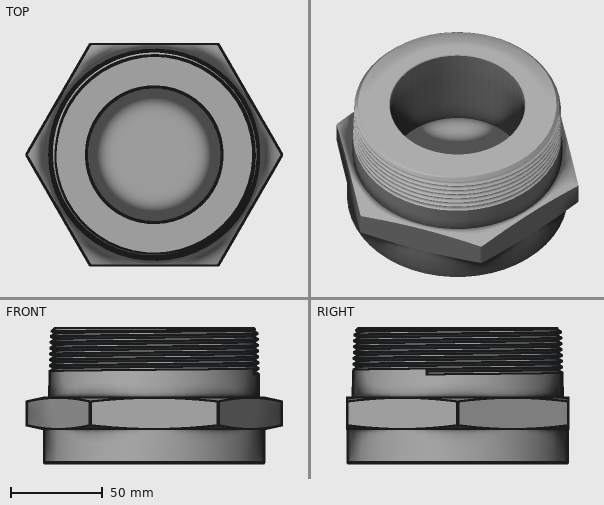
import cadquery as cq
import math

total_height = 73.91
hex_bottom = 18.8
hex_top = 35.9
taper_start = 41.0

hex_across_flats = 120.65
hex_across_corners = 138.81
hex_full_corners = hex_across_flats / math.cos(math.radians(30))
hex_chamfer_radius = 60.1
hex_chamfer_drop = 2.05

hub_radius = 60.1
hub_chamfer = 0.8

neck_radius = 57.15
taper_slope = 1 / 32
taper_angle = math.degrees(math.atan(taper_slope))
spout_top_radius = neck_radius - (total_height - taper_start) * taper_slope
spout_chamfer = 2.3

thread_pitch = 3.175
thread_depth = 0.8 * thread_pitch
groove_height_at_x_axis = 50.2
lead_in_angle = 17.5
thread_start = groove_height_at_x_axis - thread_pitch * lead_in_angle / 360
thread_turns = 7.8
groove_half_angle = math.radians(30)
groove_overshoot = 0.1

bore_radius = 36.75
bore_chamfer = 0.4
plug_height = 23.9


def turn(outline):
    """Revolve an XZ outline about the Z axis, with the seam of its round faces at -X."""
    return outline.revolve(360, (0, 0, 0), (0, 1, 0)).rotate((0, 0, 0), (0, 0, 1), 180)


def make_hexagon():
    """Hexagon whose corners are cut by a cylinder and by a shallow cone above and below."""
    corner_radius = hex_across_corners / 2
    prism = (
        cq.Workplane("XY", origin=(0, 0, hex_bottom))
        .polygon(6, hex_full_corners)
        .extrude(hex_top - hex_bottom)
    )
    outline = (
        cq.Workplane("XZ")
        .moveTo(0, hex_bottom)
        .lineTo(hex_chamfer_radius, hex_bottom)
        .lineTo(corner_radius, hex_bottom + hex_chamfer_drop)
        .lineTo(corner_radius, hex_top - hex_chamfer_drop)
        .lineTo(hex_chamfer_radius, hex_top)
        .lineTo(0, hex_top)
        .close()
    )
    return prism.intersect(turn(outline))


def make_hub():
    """Round hub from the bottom face up to the hexagon."""
    outline = (
        cq.Workplane("XZ")
        .lineTo(hub_radius - hub_chamfer, 0)
        .lineTo(hub_radius, hub_chamfer)
        .lineTo(hub_radius, hex_bottom)
        .lineTo(0, hex_bottom)
        .close()
    )
    return turn(outline)


def make_spout():
    """Straight neck that runs into the tapered blank of the thread, chamfered at the top."""
    chamfer_bottom = total_height - spout_chamfer
    outline = (
        cq.Workplane("XZ")
        .moveTo(0, hex_top)
        .lineTo(neck_radius, hex_top)
        .lineTo(neck_radius, taper_start)
        .lineTo(spout_top_radius + spout_chamfer * taper_slope, chamfer_bottom)
        .lineTo(spout_top_radius - spout_chamfer, total_height)
        .lineTo(0, total_height)
        .close()
    )
    return turn(outline)


def make_thread_groove():
    """V groove swept up the tapered helix from just before +X until it has left the top face."""
    crest_radius = neck_radius - (thread_start - taper_start) * taper_slope
    root_radius = crest_radius - thread_depth
    outer_radius = crest_radius + groove_overshoot
    half_width = (outer_radius - root_radius) * math.tan(groove_half_angle)
    helix = cq.Wire.makeHelix(
        thread_pitch,
        thread_pitch * thread_turns,
        root_radius,
        center=cq.Vector(0, 0, thread_start),
        angle=-taper_angle,
    )
    return (
        cq.Workplane("XZ")
        .moveTo(root_radius, thread_start)
        .lineTo(outer_radius, thread_start + half_width)
        .lineTo(outer_radius, thread_start - half_width)
        .close()
        .sweep(cq.Workplane(obj=helix), isFrenet=True)
        .rotate((0, 0, 0), (0, 0, 1), -lead_in_angle)
    )


def make_bore():
    """Through bore that flares out at the top edge."""
    outline = (
        cq.Workplane("XZ")
        .moveTo(0, 0)
        .lineTo(bore_radius, 0)
        .lineTo(bore_radius, total_height - bore_chamfer)
        .lineTo(bore_radius + bore_chamfer, total_height)
        .lineTo(0, total_height)
        .close()
    )
    return turn(outline)


def make_fitting():
    """Threaded hexagon fitting with an open bore."""
    threaded_spout = make_spout().cut(make_thread_groove())
    return threaded_spout.union(make_hexagon()).union(make_hub()).cut(make_bore()).solids()


def make_plug():
    """Disc that fills the lower end of the bore, flush with the bottom face."""
    return cq.Workplane("XY").circle(bore_radius).extrude(plug_height)


fitting = make_fitting()
plug = make_plug()

result = cq.Compound.makeCompound([fitting.val(), plug.val()])